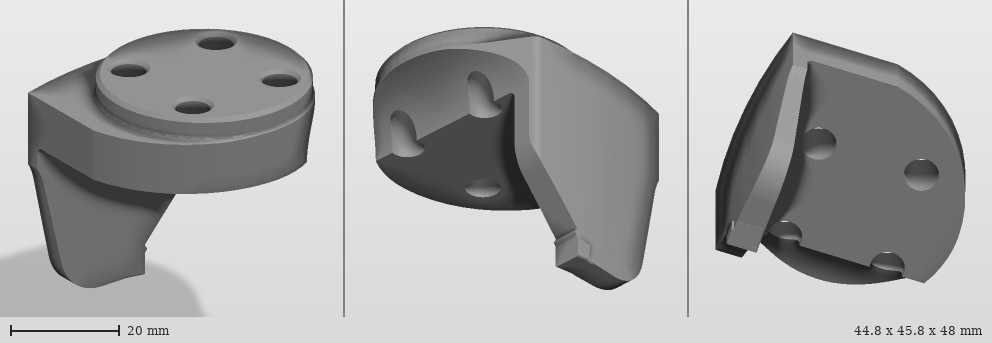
import cadquery as cq
import math


disc_radius = 40.0 / 2
disc_chamfer = 0.75
disc_depth = 4.5
disc_root_fillet = 0.95
disc_sink = 0.5

hole_diameter = 6.5
hole_offset = 9.95
hole_chamfer = 0.65

flange_radius = 20.35
flange_bottom = -14.5
front_y = -25.45
front_corner_x = 0.2
flat_angle = 120.0
rear_corner_radius = 1.9

outer_face_x = -24.1
outer_face_radius = 84.0
inner_face_x = -18.6
inner_face_radius = 249.6
blade_root_fillet = 1.45

blade_bottom = -47.5
blade_rear_y = 10.7
rear_arc_radius = -disc_depth - flange_bottom
rear_slope_start = (blade_rear_y, -29.35)
rear_slope_end = (0.1, -41.95)
seat_inside_y = -0.95
nose_radius = 10.0
front_step_top = -18.95
front_step_middle = (-24.45, -20.8)
front_step_bottom = (-23.7, -23.0)
front_slope_bottom_y = -17.6

insert_bottom_rear = (0.2, -48.0)
insert_bottom_front = (-4.55, -47.55)
insert_outline = [
    insert_bottom_rear,
    insert_bottom_front,
    (-7.35, -39.3),
    (-7.35, -37.3),
    (-6.75, -36.6),
    (-6.75, -35.55),
    (-3.05, -35.55),
    (-0.4, -41.65),
    rear_slope_end,
    (0.65, -42.95),
    (insert_bottom_rear[0], -43.5),
]
insert_chamfer = 0.25
edge_pad_x = -24.45
edge_pad_depth = 1.45
edge_pad_top = -43.5
edge_pad_ramp_bottom = -44.4
edge_pad_front_y = -3.0
edge_pad_front_bottom_y = -2.65

clearance = 9.6


def arc_x(vertex_x, radius, y):
    """X of a blade face at a given Y."""
    return vertex_x + radius - math.sqrt(radius**2 - y**2)


def region_behind_face(vertex_x, radius, top):
    """Everything on the +X side of a blade face, from the given height to below the insert."""
    reach = flange_radius + clearance
    end_x = arc_x(vertex_x, radius, reach)
    return (
        cq.Workplane("XY", origin=(0, 0, top))
        .moveTo(end_x, -reach)
        .threePointArc((vertex_x, 0), (end_x, reach))
        .lineTo(reach, reach)
        .lineTo(reach, -reach)
        .close()
        .extrude(blade_bottom - clearance - top)
    )


def make_plan_prism(top):
    """Flange outline extended from the given height down to the foot of the blade."""
    normal = math.radians(flat_angle)
    tangent_x = flange_radius * math.cos(normal)
    tangent_y = flange_radius * math.sin(normal)
    run = flange_radius - front_corner_x
    bulge_radius = (run**2 + front_y**2) / (2 * run)
    bulge_mid_angle = math.asin(-front_y / bulge_radius) / 2
    bulge_mid = (
        flange_radius - bulge_radius * (1 - math.cos(bulge_mid_angle)),
        -bulge_radius * math.sin(bulge_mid_angle),
    )
    face_center_x = outer_face_x + outer_face_radius
    center_distance = face_center_x * math.cos(normal) - flange_radius
    half_chord = math.sqrt(outer_face_radius**2 - center_distance**2)
    along = -face_center_x * math.sin(normal) + half_chord
    rear_x = tangent_x - along * math.sin(normal)
    rear_y = tangent_y + along * math.cos(normal)
    circle_mid = math.radians(flat_angle / 2)
    prism = (
        cq.Workplane("XY", origin=(0, 0, top))
        .moveTo(arc_x(outer_face_x, outer_face_radius, front_y), front_y)
        .lineTo(front_corner_x, front_y)
        .threePointArc(bulge_mid, (flange_radius, 0))
        .threePointArc(
            (flange_radius * math.cos(circle_mid), flange_radius * math.sin(circle_mid)),
            (tangent_x, tangent_y),
        )
        .lineTo(rear_x, rear_y)
        .threePointArc(
            (outer_face_x, 0),
            (arc_x(outer_face_x, outer_face_radius, front_y), front_y),
        )
        .close()
        .extrude(blade_bottom - top)
    )
    rear_corner = cq.selectors.NearestToPointSelector((rear_x, rear_y, (top + blade_bottom) / 2))
    return prism.edges(rear_corner).fillet(rear_corner_radius)


def make_disc():
    """Chamfered disc with a concave fillet at its root, sunk slightly into the flange."""
    root_radius = disc_radius + disc_root_fillet
    fillet_mid = disc_root_fillet * (1 - math.sqrt(0.5))
    return (
        cq.Workplane("XZ")
        .moveTo(0, 0)
        .lineTo(disc_radius - disc_chamfer, 0)
        .lineTo(disc_radius, -disc_chamfer)
        .lineTo(disc_radius, -disc_depth + disc_root_fillet)
        .threePointArc((disc_radius + fillet_mid, -disc_depth + fillet_mid), (root_radius, -disc_depth))
        .lineTo(root_radius, -disc_depth - disc_sink)
        .lineTo(0, -disc_depth - disc_sink)
        .close()
        .revolve(360, (0, 0), (0, 1))
    )


def make_side_profile():
    """Side outline of the holder, extruded through the full width."""
    arc_mid = rear_arc_radius * math.sqrt(0.5)
    arc_center_y = blade_rear_y + rear_arc_radius
    profile = (
        cq.Workplane("YZ")
        .moveTo(front_y, 0)
        .lineTo(front_y, front_step_top)
        .threePointArc(front_step_middle, front_step_bottom)
        .lineTo(front_slope_bottom_y, blade_bottom)
        .lineTo(seat_inside_y, blade_bottom)
        .lineTo(*rear_slope_end)
        .lineTo(*rear_slope_start)
        .lineTo(blade_rear_y, flange_bottom)
        .threePointArc(
            (arc_center_y - arc_mid, flange_bottom + arc_mid),
            (arc_center_y, -disc_depth),
        )
        .lineTo(arc_center_y, 0)
        .close()
        .extrude(flange_radius + clearance, both=True)
    )
    nose = cq.selectors.NearestToPointSelector((0, front_slope_bottom_y, blade_bottom))
    rear_bend = cq.selectors.NearestToPointSelector((0, *rear_slope_start))
    return profile.edges(nose).fillet(nose_radius).edges(rear_bend).fillet(rear_arc_radius)


def make_cavity():
    """Space behind the blade and below the flange, rounded where the two meet."""
    cavity = region_behind_face(inner_face_x, inner_face_radius, flange_bottom)
    return cavity.faces(">Z").edges("<X").fillet(blade_root_fillet)


def make_screw_hole(x, y):
    """Through hole cutter with a chamfered mouth."""
    radius = hole_diameter / 2
    drill = cq.Workplane("XY").center(x, y).circle(radius).extrude(flange_bottom - clearance)
    mouth = cq.Solid.makeCone(
        radius + hole_chamfer, radius, hole_chamfer, cq.Vector(x, y, 0), cq.Vector(0, 0, -1)
    )
    return drill.union(cq.Workplane(mouth))


def make_insert_prism():
    """Insert outline extruded across the blade; it also cuts the seat."""
    return (
        cq.Workplane("YZ", origin=(edge_pad_x - clearance, 0, 0))
        .polyline(insert_outline)
        .close()
        .extrude(2 * clearance + inner_face_x - edge_pad_x)
    )


def make_holder():
    holder = make_plan_prism(-disc_depth).union(make_disc().intersect(make_plan_prism(0)))
    holder = holder.intersect(make_side_profile()).cut(make_cavity())
    for x in (-hole_offset, hole_offset):
        for y in (-hole_offset, hole_offset):
            holder = holder.cut(make_screw_hole(x, y))
    return holder.cut(make_insert_prism())


def make_insert():
    """Insert flush with both blade faces, with a raised pad at its cutting edge and a chamfered bottom."""
    pad = (
        cq.Workplane("XZ", origin=(0, insert_bottom_rear[0], 0))
        .moveTo(edge_pad_x + edge_pad_depth, edge_pad_top)
        .lineTo(outer_face_x, edge_pad_top)
        .lineTo(edge_pad_x, edge_pad_ramp_bottom)
        .lineTo(edge_pad_x, insert_bottom_rear[1])
        .lineTo(edge_pad_x + edge_pad_depth, insert_bottom_rear[1])
        .close()
        .extrude(insert_bottom_rear[0] - edge_pad_front_y)
    )
    pad_outline = (
        cq.Workplane("YZ", origin=(edge_pad_x, 0, 0))
        .moveTo(insert_bottom_rear[0], edge_pad_top)
        .lineTo(edge_pad_front_y, edge_pad_ramp_bottom)
        .lineTo(edge_pad_front_bottom_y, insert_bottom_rear[1])
        .lineTo(*insert_bottom_rear)
        .close()
        .extrude(edge_pad_depth)
    )
    pad = pad.intersect(pad_outline).intersect(make_insert_prism())
    insert = (
        make_insert_prism()
        .intersect(region_behind_face(outer_face_x, outer_face_radius, flange_bottom))
        .cut(region_behind_face(inner_face_x, inner_face_radius, flange_bottom))
    )
    return insert.union(pad).clean().faces("<Z").edges("not(|X)").chamfer(insert_chamfer)


holder = make_holder()
insert = make_insert()
result = cq.Compound.makeCompound([holder.val(), insert.val()])